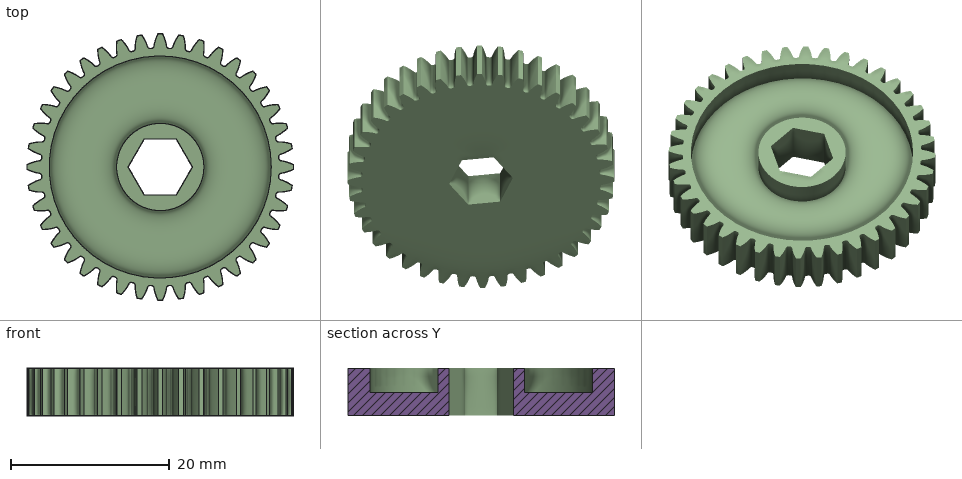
import cadquery as cq
import math

MODULE = 0.8
TEETH = 40
PRESSURE_ANGLE = math.radians(20)
ADDENDUM = MODULE
DEDENDUM = 1.25 * MODULE
ROOT_FILLET_RADIUS = 0.38 * MODULE
THICKNESS = 6.0
POCKET_DEPTH = 3.0
POCKET_DIAMETER = 28.0
HUB_DIAMETER = 11.0
HEX_ACROSS_FLATS = 7.0
HEX_SIDES = 6
FLANK_POINTS = 6

PITCH_RADIUS = MODULE * TEETH / 2
BASE_RADIUS = PITCH_RADIUS * math.cos(PRESSURE_ANGLE)
TIP_RADIUS = PITCH_RADIUS + ADDENDUM
ROOT_RADIUS = PITCH_RADIUS - DEDENDUM
TOOTH_PITCH = 2 * math.pi / TEETH

BASE_HALF_ANGLE = TOOTH_PITCH / 4 + math.tan(PRESSURE_ANGLE) - PRESSURE_ANGLE


def polar(radius, angle):
    return (radius * math.cos(angle), radius * math.sin(angle))


def tangent_length(radius):
    """Length of the base-circle tangent that ends at the given radius."""
    return math.sqrt(radius**2 - BASE_RADIUS**2)


def involute(length):
    """Radius and swept angle of the involute point at the given tangent length."""
    roll = length / BASE_RADIUS
    return math.hypot(BASE_RADIUS, length), roll - math.atan(roll)


def half_tooth():
    """Polar points of the +angle side of a tooth centred on angle zero.

    Returns the root end and middle of the root fillet, then the flank points
    from the fillet to the tip.
    """
    centre_radius = ROOT_RADIUS + ROOT_FILLET_RADIUS
    centre_length = tangent_length(centre_radius)
    centre_sweep = involute(centre_length)[1]
    centre_angle = BASE_HALF_ANGLE + ROOT_FILLET_RADIUS / BASE_RADIUS - centre_sweep

    start_length = centre_length - ROOT_FILLET_RADIUS
    step = (tangent_length(TIP_RADIUS) - start_length) / (FLANK_POINTS - 1)
    flank = []
    for i in range(FLANK_POINTS):
        radius, sweep = involute(start_length + i * step)
        flank.append((radius, BASE_HALF_ANGLE - sweep))

    centre_x, centre_y = polar(centre_radius, centre_angle)
    root_x, root_y = polar(ROOT_RADIUS, centre_angle)
    flank_x, flank_y = polar(*flank[0])
    bisector_x = root_x + flank_x - 2 * centre_x
    bisector_y = root_y + flank_y - 2 * centre_y
    scale = ROOT_FILLET_RADIUS / math.hypot(bisector_x, bisector_y)
    middle_x = centre_x + scale * bisector_x
    middle_y = centre_y + scale * bisector_y
    fillet_middle = (math.hypot(middle_x, middle_y), math.atan2(middle_y, middle_x))
    return (ROOT_RADIUS, centre_angle), fillet_middle, flank


def toothed_blank():
    root_end, fillet_middle, flank = half_tooth()
    root_angle = root_end[1]
    outline = cq.Workplane("XY").moveTo(*polar(ROOT_RADIUS, -root_angle))
    for i in range(TEETH):
        turn = i * TOOTH_PITCH

        def left(point):
            return polar(point[0], turn + point[1])

        def right(point):
            return polar(point[0], turn - point[1])

        outline = (
            outline.threePointArc(right(fillet_middle), right(flank[0]))
            .spline([right(p) for p in flank[1:]], includeCurrent=True)
            .threePointArc(polar(TIP_RADIUS, turn), left(flank[-1]))
            .spline([left(p) for p in flank[-2::-1]], includeCurrent=True)
            .threePointArc(left(fillet_middle), left(root_end))
        )
        gap_middle = polar(ROOT_RADIUS, turn + TOOTH_PITCH / 2)
        next_root = polar(ROOT_RADIUS, turn + TOOTH_PITCH - root_angle)
        outline = outline.threePointArc(gap_middle, next_root)
    return outline.close().extrude(THICKNESS)


def annular_pocket():
    """Recess in the top face between the rim and the hub."""
    return (
        cq.Workplane("XY")
        .workplane(offset=THICKNESS - POCKET_DEPTH)
        .circle(POCKET_DIAMETER / 2)
        .circle(HUB_DIAMETER / 2)
        .extrude(POCKET_DEPTH)
    )


def hex_bore():
    """Through bore with two of its corners on the X axis."""
    across_corners = HEX_ACROSS_FLATS / math.cos(math.pi / HEX_SIDES)
    return cq.Workplane("XY").polygon(HEX_SIDES, across_corners).extrude(THICKNESS)


result = toothed_blank().cut(annular_pocket()).cut(hex_bore())